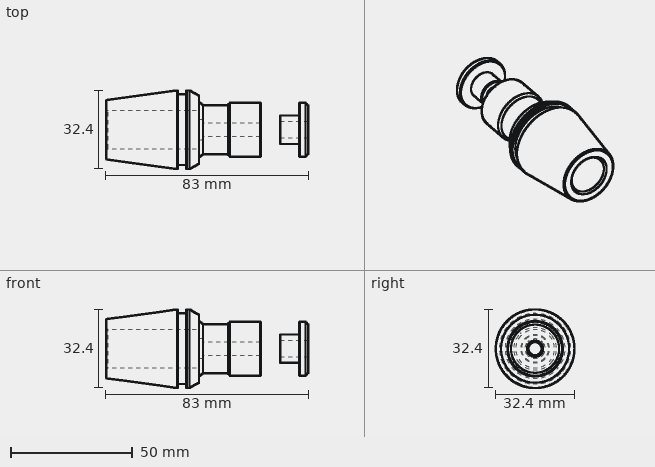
import cadquery as cq

nose_edge = 0.3
taper_end = 29.15
groove_start = 29.6
groove_end = 32.9
collar_cone_start = 34.3
collar_end = 38.3
neck_start = 39.8
neck_end = 50.0
tail_start = 51.0
tail_end = 63.6

nose_face_diameter = 23.4
nose_diameter = 24.5
body_diameter = 32.4
groove_diameter = 29.15
collar_small_diameter = 27.9
neck_flare_diameter = 22.75
neck_diameter = 20.3
head_diameter = 22.25

bore_diameter = 15.8
bore_mouth_diameter = 17.4
bore_depth = collar_end
counterbore_diameter = 8.2
counterbore_end = neck_start
sleeve_hole_diameter = 5.4

plug_start = 71.3
head_start = 79.2
head_chamfer_start = 81.8
plug_end = 83.0
stem_diameter = 11.7
head_end_diameter = 19.8
plug_hole_diameter = 6.65

edge_break = 0.3


def revolve_about_x(points):
    """Revolve a closed outline of (x, diameter) points about the X axis."""
    outline = [(x, diameter / 2) for x, diameter in points]
    return cq.Workplane("XY").polyline(outline).close().revolve(360, (0, 0, 0), (1, 0, 0))


def make_sleeve():
    """Tapered nose, grooved collar, neck and tail, hollow along the axis."""
    bore_mouth_depth = (bore_mouth_diameter - bore_diameter) / 2
    outside = [
        (0, nose_face_diameter),
        (nose_edge, nose_diameter),
        (taper_end, body_diameter),
        (groove_start, body_diameter - 2 * edge_break),
        (groove_start, groove_diameter),
        (groove_end, groove_diameter),
        (groove_end, body_diameter - 2 * edge_break),
        (groove_end + edge_break, body_diameter),
        (collar_cone_start, body_diameter),
        (collar_end, collar_small_diameter),
        (collar_end, neck_flare_diameter),
        (neck_start, neck_diameter),
        (neck_end, neck_diameter),
        (tail_start, head_diameter),
        (tail_end - edge_break, head_diameter),
        (tail_end, head_diameter - 2 * edge_break),
    ]
    inside = [
        (tail_end, sleeve_hole_diameter),
        (counterbore_end, sleeve_hole_diameter),
        (counterbore_end, counterbore_diameter),
        (bore_depth, counterbore_diameter),
        (bore_depth, bore_diameter),
        (bore_mouth_depth, bore_diameter),
        (0, bore_mouth_diameter),
    ]
    return revolve_about_x(outside + inside)


def make_plug():
    """Hollow stem with a wider chamfered head."""
    outline = [
        (plug_start, plug_hole_diameter),
        (plug_start, stem_diameter - 2 * edge_break),
        (plug_start + edge_break, stem_diameter),
        (head_start, stem_diameter),
        (head_start, head_diameter - 2 * edge_break),
        (head_start + edge_break, head_diameter),
        (head_chamfer_start, head_diameter),
        (plug_end, head_end_diameter),
        (plug_end, plug_hole_diameter),
    ]
    return revolve_about_x(outline)


sleeve = make_sleeve()
plug = make_plug()

result = cq.Compound.makeCompound([sleeve.val(), plug.val()])